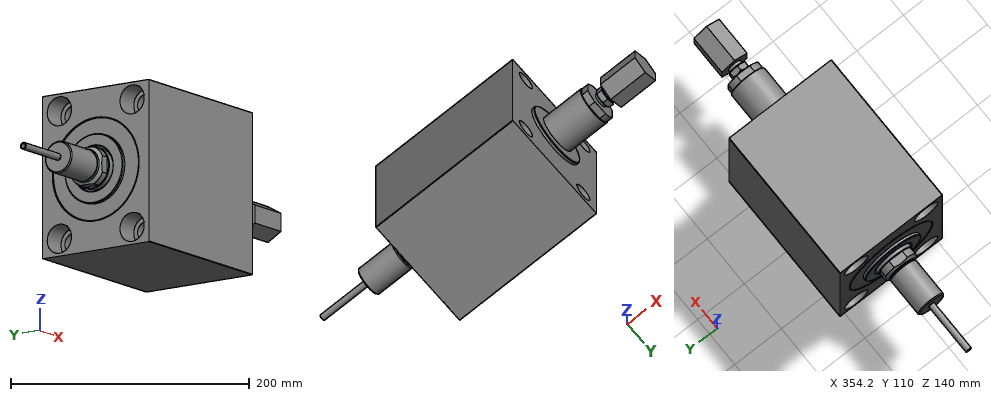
import cadquery as cq
import math


block_length = 150.0
block_width = 110.0
block_height = 140.0
block_edge_chamfer = 0.5

screw_spacing_y = 75.0
screw_spacing_z = 110.0
screw_hole_diameter = 17.0
counterbore_diameter = 25.0
counterbore_depth = 20.0

collar_diameter = 60.0
collar_height = 3.0
collar_chamfer = 0.75

gland_diameter = 88.0
gland_depth = 20.0
gland_seat_chamfer = 0.75
wiper_diameter = 39.2
wiper_chamfer = 0.65
wiper_depth = 3.0

rod_diameter = 36.0
rod_end_diameter = 35.0
rod_flats = 32.0
rod_shoulder_left = -6.0
rod_end_left = -15.0
rod_shoulder_right = block_length + 43.6
rod_end_right = block_length + 50.0
rod_shoulder_chamfer = 0.5
rod_tip_diameter = 28.5
rod_tip_chamfer_length = 2.2

sensor_diameter = 27.5
sensor_chamfer = 1.0
sensor_face = -54.5
sensor_back = -15.8
sensor_neck_diameter = 25.0
tube_diameter = 6.0
tube_end = -104.8
tube_bore_diameter = 4.0

neck_diameter = 13.0
small_hex_flats = 16.0
small_hex_start = block_length + 52.2
small_hex_end = block_length + 58.0
coupling_shoulder_diameter = 15.0
coupling_shoulder_end = block_length + 58.5
small_hex_chamfer_diameter = 16.0
large_hex_flats = 27.0
large_hex_start = block_length + 61.5
overall_length = 354.2
large_hex_end = tube_end + overall_length


def cylinder(diameter, start, end):
    """Solid cylinder on the X axis from start to end."""
    return cq.Workplane("YZ").workplane(offset=start).circle(diameter / 2).extrude(end - start)


def hexagon(flats, start, end):
    """Hexagonal bar on the X axis with corners pointing up and down."""
    corner_diameter = flats / math.cos(math.pi / 6)
    return (
        cq.Workplane("YZ")
        .workplane(offset=start)
        .transformed(rotate=(0, 0, 90))
        .polygon(6, corner_diameter)
        .extrude(end - start)
    )


def square_bar(flats, start, end):
    """Square bar on the X axis."""
    return cq.Workplane("YZ").workplane(offset=start).rect(flats, flats).extrude(end - start)


def mouth_chamfer(bore_diameter, chamfer, face):
    """Cone that chamfers the mouth of a bore opening toward -X at the given face."""
    bore_radius = bore_diameter / 2
    mouth_center = cq.Vector(face, 0, 0)
    inward = cq.Vector(1, 0, 0)
    cone = cq.Solid.makeCone(bore_radius + chamfer, bore_radius, chamfer, mouth_center, inward)
    return cq.Workplane(cone)


def screw_pattern(diameter, depth):
    """Four cylinders at the screw positions, running from the sensor-side face inward."""
    return (
        cq.Workplane("YZ")
        .rect(screw_spacing_y, screw_spacing_z, forConstruction=True)
        .vertices()
        .circle(diameter / 2)
        .extrude(depth)
    )


def make_housing():
    block = cq.Workplane("YZ").rect(block_width, block_height).extrude(block_length)
    block = block.edges("|X").chamfer(block_edge_chamfer)
    collar = cylinder(collar_diameter, block_length, block_length + collar_height)
    collar = collar.faces(">X").chamfer(collar_chamfer)
    screw_holes = screw_pattern(screw_hole_diameter, block_length)
    counterbores = screw_pattern(counterbore_diameter, counterbore_depth)
    rod_bore = cylinder(rod_diameter, 0, block_length + collar_height)
    seat_mouth = mouth_chamfer(gland_diameter, gland_seat_chamfer, 0)
    gland_seat = cylinder(gland_diameter, 0, gland_depth)
    housing = block.union(collar).cut(screw_holes).cut(counterbores)
    return housing.cut(rod_bore).cut(gland_seat).cut(seat_mouth)


def make_gland():
    body = cylinder(gland_diameter, 0, gland_depth)
    collar = cylinder(collar_diameter, -collar_height, 0).faces("<X").chamfer(collar_chamfer)
    rod_bore = cylinder(rod_diameter, -collar_height, gland_depth)
    wiper_recess = cylinder(wiper_diameter, -collar_height, wiper_depth - collar_height)
    wiper_mouth = mouth_chamfer(wiper_diameter, wiper_chamfer, -collar_height)
    return body.union(collar).cut(rod_bore).cut(wiper_recess).cut(wiper_mouth)


def make_rod_end(start, end):
    """Reduced rod end with four spanner flats."""
    return cylinder(rod_end_diameter, start, end).intersect(square_bar(rod_flats, start, end))


def make_rod_tip_cone():
    """Cone that rounds off the corners of the sensor-side rod end."""
    turned = cylinder(rod_end_diameter, rod_end_left, rod_shoulder_left)
    radial = (rod_end_diameter - rod_tip_diameter) / 2
    return turned.faces("<X").chamfer(rod_tip_chamfer_length, radial)


def make_piston_rod():
    rod = cylinder(rod_diameter, rod_shoulder_left, rod_shoulder_right)
    rod = rod.faces("<X or >X").chamfer(rod_shoulder_chamfer)
    left_end = make_rod_end(rod_end_left, rod_shoulder_left).intersect(make_rod_tip_cone())
    right_end = make_rod_end(rod_shoulder_right, rod_end_right)
    return rod.union(left_end).union(right_end)


def make_sensor():
    head = cylinder(sensor_diameter, sensor_face, sensor_back).faces("<X or >X").chamfer(sensor_chamfer)
    neck = cylinder(sensor_neck_diameter, sensor_back, rod_end_left)
    tube = cylinder(tube_diameter, tube_end, sensor_face)
    tube_bore = cylinder(tube_bore_diameter, tube_end, sensor_face)
    return head.union(neck).union(tube).cut(tube_bore)


def make_coupling():
    neck = cylinder(neck_diameter, rod_end_right, large_hex_start)
    large_hex = hexagon(large_hex_flats, large_hex_start, large_hex_end)
    small_hex = hexagon(small_hex_flats, small_hex_start, small_hex_end)
    corner_diameter = small_hex_flats / math.cos(math.pi / 6)
    rounding = cylinder(corner_diameter, small_hex_start, small_hex_end)
    rounding = rounding.faces("<X").chamfer((corner_diameter - small_hex_chamfer_diameter) / 2)
    shoulder = cylinder(coupling_shoulder_diameter, small_hex_end, coupling_shoulder_end)
    return neck.union(small_hex.intersect(rounding)).union(shoulder).union(large_hex)


housing = make_housing()
gland = make_gland()
piston_rod = make_piston_rod()
sensor = make_sensor()
coupling = make_coupling()

result = cq.Compound.makeCompound(
    [housing.val(), gland.val(), piston_rod.val(), sensor.val(), coupling.val()]
)